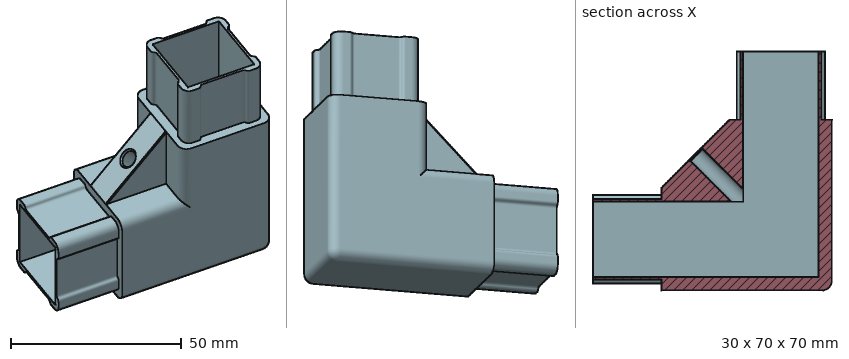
import cadquery as cq
import math

total_length = 70.0
body_width = 30.0
insert_length = 20.0
body_corner_radius = 3.0

insert_width = 25.9
insert_corner_radius = 2.5
bore_width = 22.0
relief_depth = 1.1
relief_half_width = 8.5
relief_blend_radius = 1.0

gusset_width = 9.9
gusset_edge_chamfer = 0.3
hole_diameter = 5.0
hole_chamfer = 0.5

half_body = body_width / 2
half_insert = insert_width / 2
half_bore = bore_width / 2
body_end = total_length - half_body - insert_length
insert_end = total_length - half_body


def upright_to_forward(shape):
    """Turn a leg pointing up into the matching leg pointing forward."""
    return shape.rotate((0, 0, 0), (1, 0, 0), 90)


def make_body():
    """L-shaped square body with every lengthwise outer edge rounded."""
    outline = [
        (half_body, -half_body),
        (half_body, body_end),
        (-half_body, body_end),
        (-half_body, half_body),
        (-body_end, half_body),
        (-body_end, -half_body),
    ]
    body = cq.Workplane("YZ").polyline(outline).close().extrude(half_body, both=True)
    side_edges = body.faces("<X or >X").edges("not(>Z or <Y)")
    heel_edge = body.edges("|X").edges(">Y and <Z")
    return body.newObject(side_edges.vals() + heel_edge.vals()).fillet(body_corner_radius)


def make_relief_cutter():
    """Shallow lengthwise relief on the +X face, with S-curved sides."""
    blend_angle = math.acos(1 - relief_depth / (2 * relief_blend_radius))
    blend_run = 2 * relief_blend_radius * math.sin(blend_angle)
    arc_run = relief_blend_radius * math.sin(blend_angle / 2)
    arc_rise = relief_blend_radius * (1 - math.cos(blend_angle / 2))

    floor = half_insert - relief_depth
    middle = half_insert - relief_depth / 2
    floor_half_width = relief_half_width - blend_run
    middle_half_width = relief_half_width - blend_run / 2
    outer_arc_point = (half_insert - arc_rise, relief_half_width - arc_run)
    inner_arc_point = (floor + arc_rise, floor_half_width + arc_run)

    return (
        cq.Workplane("XY")
        .workplane(offset=body_end)
        .moveTo(half_insert, relief_half_width)
        .threePointArc(outer_arc_point, (middle, middle_half_width))
        .threePointArc(inner_arc_point, (floor, floor_half_width))
        .lineTo(floor, -floor_half_width)
        .threePointArc((inner_arc_point[0], -inner_arc_point[1]), (middle, -middle_half_width))
        .threePointArc((outer_arc_point[0], -outer_arc_point[1]), (half_insert, -relief_half_width))
        .close()
        .extrude(insert_length)
    )


def make_insert():
    """Upright insert: a rounded square with a relief on each of its four faces."""
    insert = (
        cq.Workplane("XY")
        .workplane(offset=body_end)
        .rect(insert_width, insert_width)
        .extrude(insert_length)
        .edges("|Z")
        .fillet(insert_corner_radius)
    )
    relief = make_relief_cutter()
    for quarter_turn in range(4):
        insert = insert.cut(relief.rotate((0, 0, 0), (0, 0, 1), 90 * quarter_turn))
    return insert


def make_gusset():
    """Triangular web between the legs, with its two sloping edges chamfered."""
    return (
        cq.Workplane("YZ")
        .moveTo(-half_body, half_body)
        .lineTo(-half_body, body_end)
        .lineTo(-body_end, half_body)
        .close()
        .extrude(gusset_width / 2, both=True)
        .edges("(<X or >X) and (not (|Y or |Z))")
        .chamfer(gusset_edge_chamfer)
    )


def make_bore():
    """Square bore from the top end down to the level of the forward bore's floor."""
    return (
        cq.Workplane("XY")
        .workplane(offset=-half_bore)
        .rect(bore_width, bore_width)
        .extrude(half_bore + insert_end)
    )


def make_hole_cutter():
    """Screw hole square to the gusset slope, chamfered at its mouth and open to the bores."""
    slope_middle = (half_body + body_end) / 2
    hole_depth = slope_middle * math.sqrt(2)
    mouth_radius = hole_diameter / 2 + hole_chamfer
    slope_plane = cq.Plane(origin=(0, -slope_middle, slope_middle), xDir=(1, 0, 0), normal=(0, 1, -1))
    return (
        cq.Workplane(slope_plane)
        .circle(hole_diameter / 2)
        .extrude(hole_depth)
        .union(
            cq.Workplane(slope_plane)
            .circle(mouth_radius)
            .workplane(offset=hole_chamfer)
            .circle(hole_diameter / 2)
            .loft()
        )
    )


insert = make_insert()
bore = make_bore()

result = (
    make_body()
    .union(make_gusset())
    .union(insert)
    .union(upright_to_forward(insert))
    .cut(bore)
    .cut(upright_to_forward(bore))
    .cut(make_hole_cutter())
)